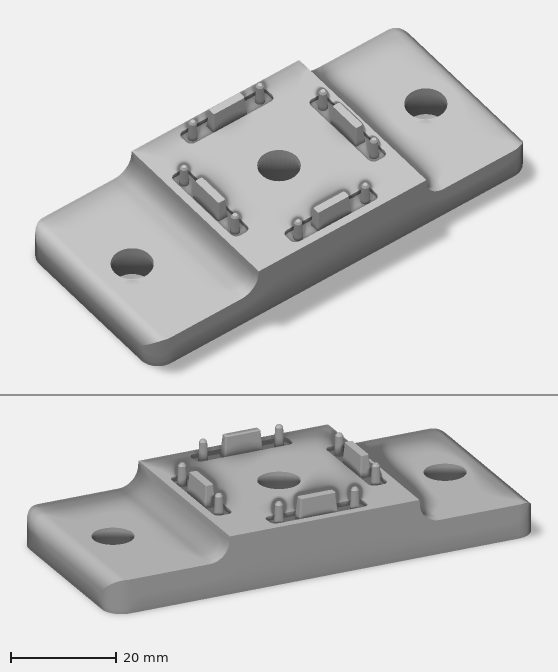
import cadquery as cq
import math

length = 89.9
width = 39.9
block_height = 12.0
flange_height = 7.0
block_half_length = 20.0
corner_radius = 4.05
end_round = 3.1
step_round = 4.1
draft = 5.0

mount_hole_diameter = 8.2
mount_hole_offset = 35.0
center_hole_diameter = 8.3
center_hole_draft = 4.0

slot_length = 20.5
slot_width = 3.9
slot_depth = 1.0
slot_corner_radius = 1.3
slot_offset = 16.4
slot_angles = [0, 90, 180, 270]

total_height = 15.5
tab_length = 8.2
tab_width = 2.4
tab_corner_radius = 0.4
pin_foot_diameter = 1.9
pin_shoulder_diameter = 1.5
pin_tip_diameter = 0.9
pin_tip_height = 0.45
pin_spacing = 16.0
pin_offset = 16.5

draft_slope = math.tan(math.radians(draft))
floor_height = block_height - slot_depth
post_height = total_height - floor_height


def make_frame_ring():
    outer_side = 2 * slot_offset + slot_width
    inner_side = 2 * slot_offset - slot_width
    return (
        cq.Workplane("XY")
        .rect(outer_side, outer_side)
        .rect(inner_side, inner_side)
        .extrude(floor_height)
    )


def make_slot(angle):
    return (
        cq.Workplane("XY", origin=(0, slot_offset, floor_height))
        .rect(slot_length, slot_width)
        .extrude(slot_depth)
        .edges("|Z")
        .fillet(slot_corner_radius)
        .rotate((0, 0, 0), (0, 0, 1), angle)
    )


def make_stepped_block():
    """Low end flanges and a raised middle with drafted, filleted steps."""
    step_foot = block_half_length + (block_height - flange_height) * draft_slope
    half_length = length / 2
    profile = [
        (-half_length, 0),
        (half_length, 0),
        (half_length, flange_height),
        (step_foot, flange_height),
        (block_half_length, block_height),
        (-block_half_length, block_height),
        (-step_foot, flange_height),
        (-half_length, flange_height),
    ]
    block = cq.Workplane("YZ").polyline(profile).close().extrude(width / 2, both=True)
    for side in (-1, 1):
        foot_edge = cq.NearestToPointSelector((0, side * step_foot, flange_height))
        block = block.edges(foot_edge).fillet(step_round)
    block = block.edges("|Z").fillet(corner_radius)
    return block


def make_end_round_cutter(side):
    """Waste material outside the rounded top edge of one end."""
    end = side * length / 2
    inner = end - side * end_round
    low = flange_height - end_round
    mid_y = inner + side * end_round * math.sqrt(0.5)
    mid_z = low + end_round * math.sqrt(0.5)
    return (
        cq.Workplane("YZ")
        .moveTo(inner, flange_height)
        .threePointArc((mid_y, mid_z), (end, low))
        .lineTo(end, flange_height)
        .close()
        .extrude(width / 2, both=True)
    )


def make_base():
    base = make_stepped_block()
    for side in (-1, 1):
        base = base.cut(make_end_round_cutter(side))
    mount_holes = (
        cq.Workplane("XY")
        .pushPoints([(0, -mount_hole_offset), (0, mount_hole_offset)])
        .circle(mount_hole_diameter / 2)
        .extrude(flange_height)
    )
    center_hole = (
        cq.Workplane("XY", origin=(0, 0, block_height))
        .circle(center_hole_diameter / 2)
        .extrude(-block_height, taper=center_hole_draft)
    )
    base = base.cut(mount_holes).cut(center_hole).cut(make_frame_ring())
    for angle in slot_angles:
        base = base.cut(make_slot(angle))
    return base


def make_pin():
    """Slightly tapered round pin with a bevelled tip, standing on its own origin."""
    profile = [
        (0, 0),
        (pin_foot_diameter / 2, 0),
        (pin_shoulder_diameter / 2, post_height - pin_tip_height),
        (pin_tip_diameter / 2, post_height),
        (0, post_height),
    ]
    return cq.Workplane("XZ").polyline(profile).close().revolve(360, (0, 0), (0, 1))


def make_posts(angle):
    """One tab between two pins, standing on one side of the frame."""
    tab = (
        cq.Workplane("XY", origin=(0, slot_offset, floor_height))
        .rect(tab_length, tab_width)
        .extrude(post_height, taper=draft)
        .edges("not #Z")
        .fillet(tab_corner_radius)
    )
    posts = cq.Workplane(tab.val())
    for side in (-1, 1):
        posts.add(make_pin().translate((side * pin_spacing / 2, pin_offset, floor_height)))
    return posts.combine().rotate((0, 0, 0), (0, 0, 1), angle)


def make_contact_frame():
    frame = make_frame_ring()
    for angle in slot_angles:
        frame = frame.union(make_posts(angle))
    return frame


base = make_base()
contact_frame = make_contact_frame()

result = cq.Compound.makeCompound([base.solids().val(), contact_frame.solids().val()])